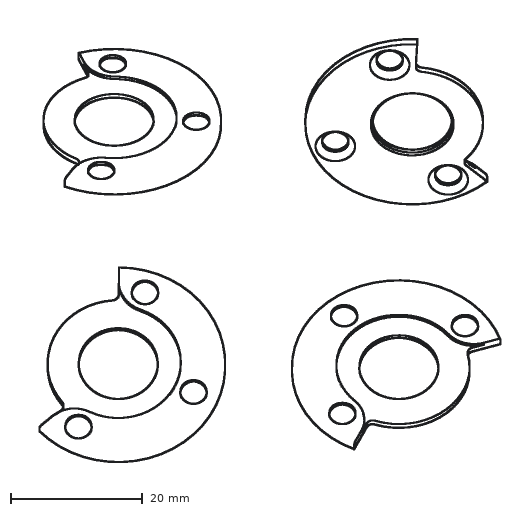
import cadquery as cq
import math

plate_thickness = 1.0
step_height = 0.5
total_thickness = plate_thickness + step_height

bore_radius = 6.0
step_radius = 9.5
hub_radius = 10.75
rim_radius = 16.25

rim_fillet = 0.5
hub_corner_radius = 1.0
step_blend_radius = 5.0

symmetry_angle = 11.15
sector_half_angle = 113.6

hole_diameter = 4.0
hole_circle_radius = 12.5
hole_spacing_angle = 95.0

bore_flare = 0.3
hole_flare = 1.0


def polar(radius, angle):
    """Point at a radius and an angle in degrees from the symmetry axis."""
    turn = math.radians(angle)
    return (radius * math.cos(turn), radius * math.sin(turn))


def mirrored(point):
    """Point reflected across the symmetry axis."""
    return (point[0], -point[1])


def sector(circle_radius, blend_radius, blend_side, circle_mid_angle, height):
    """Rim sector with radial ends that blend tangentially into a concentric circle.

    blend_side is +1 for blends beyond the radial ends and -1 for blends within them.
    circle_mid_angle is 0 or 180, for the stretch of the circle that closes the outline.
    """
    centre_distance = circle_radius + blend_radius
    blend_swing = math.degrees(math.asin(blend_radius / centre_distance))
    blend_angle = sector_half_angle + blend_side * blend_swing

    end_contact = polar(math.sqrt(centre_distance**2 - blend_radius**2), sector_half_angle)
    circle_contact = polar(circle_radius, blend_angle)
    blend_centre = cq.Vector(*polar(centre_distance, blend_angle))
    chord_middle = (cq.Vector(*end_contact) + cq.Vector(*circle_contact)) / 2
    blend_middle = blend_centre + (chord_middle - blend_centre).normalized() * blend_radius
    blend_point = (blend_middle.x, blend_middle.y)

    rim_corner = polar(rim_radius, sector_half_angle)
    return (
        cq.Workplane("XY")
        .moveTo(*mirrored(rim_corner))
        .threePointArc(polar(rim_radius, 0), rim_corner)
        .lineTo(*end_contact)
        .threePointArc(blend_point, circle_contact)
        .threePointArc(polar(circle_radius, circle_mid_angle), mirrored(circle_contact))
        .threePointArc(mirrored(blend_point), mirrored(end_contact))
        .close()
        .extrude(height)
    )


def base_plate():
    """Thin plate: the sector joined to the round hub by small concave corners."""
    return sector(hub_radius, hub_corner_radius, 1, 180, plate_thickness)


def raised_sector():
    """Full-height sector around the hub step, with its upper rim edge rounded."""
    body = sector(step_radius, step_blend_radius, -1, 0, total_thickness)
    rim_top = cq.selectors.NearestToPointSelector((*polar(rim_radius, 0), total_thickness))
    return body.edges(">Z").edges(rim_top).fillet(rim_fillet)


def flared_hole(radius, flare, centre):
    """Cutter for a through hole that widens by the flare towards the underside."""
    profile = (
        cq.Workplane("XZ")
        .moveTo(0, 0)
        .lineTo(radius + flare, 0)
        .lineTo(radius, flare)
        .lineTo(radius, total_thickness)
        .lineTo(0, total_thickness)
        .close()
    )
    return profile.revolve(axisStart=(0, 0), axisEnd=(0, 1)).translate((*centre, 0))


def make_part():
    part = base_plate().union(raised_sector())
    part = part.cut(flared_hole(bore_radius, bore_flare, (0, 0)))
    for step in (-1, 0, 1):
        centre = polar(hole_circle_radius, step * hole_spacing_angle)
        part = part.cut(flared_hole(hole_diameter / 2, hole_flare, centre))
    return part.rotate((0, 0, 0), (0, 0, 1), symmetry_angle)


result = make_part()